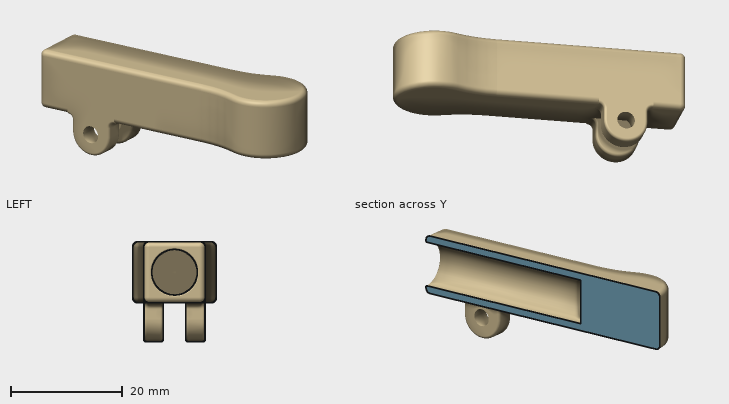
import cadquery as cq
import math

length = 52.45
bar_width = 11.0
body_height = 11.0
head_radius = 7.5
neck_radius = 20.0
body_fillet = 1.0

bore_diameter = 8.2
bore_depth = 34.65
bore_fillet = 0.3

lug_x = 11.0
lug_radius = 4.0
lug_thickness = 3.5
lug_hole_diameter = 3.2
lug_drop = 7.0
lug_root_radius = 1.0
lug_edge_fillet = 0.5
selection_margin = 0.5

half_width = bar_width / 2
diagonal = math.sqrt(0.5)


def make_body():
    """Rounded body whose concave neck arcs are tangent to the bar and the head."""
    head_x = length - head_radius
    neck_center_y = half_width + neck_radius
    center_distance = head_radius + neck_radius
    neck_run = math.sqrt(center_distance**2 - neck_center_y**2)
    neck_x = head_x - neck_run
    neck_angle = math.asin(neck_run / center_distance)

    join_x = neck_x + neck_radius * math.sin(neck_angle)
    join_y = neck_center_y - neck_radius * math.cos(neck_angle)
    mid_x = neck_x + neck_radius * math.sin(neck_angle / 2)
    mid_y = neck_center_y - neck_radius * math.cos(neck_angle / 2)

    return (
        cq.Workplane("XY")
        .moveTo(0, -half_width)
        .lineTo(neck_x, -half_width)
        .threePointArc((mid_x, -mid_y), (join_x, -join_y))
        .threePointArc((length, 0), (join_x, join_y))
        .threePointArc((mid_x, mid_y), (neck_x, half_width))
        .lineTo(0, half_width)
        .close()
        .extrude(body_height)
        .edges()
        .fillet(body_fillet)
    )


def make_lug(outer_y):
    """Lug with flared roots, reaching up from its outer_y face toward +Y."""
    left = lug_x - lug_radius
    right = lug_x + lug_radius
    root_left = left - lug_root_radius
    root_right = right + lug_root_radius
    center_z = lug_radius - lug_drop
    root_inset = lug_root_radius * (1 - diagonal)

    lug = (
        cq.Workplane("XZ", origin=(0, outer_y, 0))
        .moveTo(root_left, body_fillet)
        .lineTo(root_left, 0)
        .threePointArc((left - root_inset, -root_inset), (left, -lug_root_radius))
        .lineTo(left, center_z)
        .threePointArc((lug_x, -lug_drop), (right, center_z))
        .lineTo(right, -lug_root_radius)
        .threePointArc((right + root_inset, -root_inset), (root_right, 0))
        .lineTo(root_right, body_fillet)
        .close()
        .extrude(-lug_thickness)
    )
    rims = cq.selectors.BoxSelector(
        (root_left, outer_y - selection_margin, -lug_drop - selection_margin),
        (root_right, outer_y + lug_thickness + selection_margin, -root_inset / 2),
    )
    lug = lug.edges("#Y").edges(rims).fillet(lug_edge_fillet)
    hole = (
        cq.Workplane("XZ", origin=(lug_x, outer_y, center_z))
        .circle(lug_hole_diameter / 2)
        .extrude(-lug_thickness)
    )
    return lug.cut(hole)


def make_bore():
    """Bore cutter with a flared mouth that rounds the rim."""
    radius = bore_diameter / 2
    rim_inset = bore_fillet * (1 - diagonal)
    return (
        cq.Workplane("XY")
        .lineTo(0, radius + bore_fillet)
        .threePointArc((rim_inset, radius + rim_inset), (bore_fillet, radius))
        .lineTo(bore_depth, radius)
        .lineTo(bore_depth, 0)
        .close()
        .revolve(360, (0, 0), (1, 0))
        .translate((0, 0, body_height / 2))
    )


result = make_body()
for lug_face_y in (-half_width, half_width - lug_thickness):
    result = result.union(make_lug(lug_face_y))
result = result.cut(make_bore())